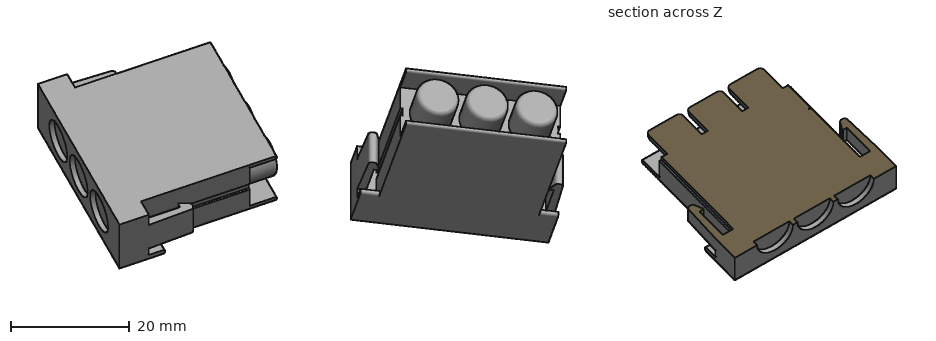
import cadquery as cq

height = 11.4
body_width = 27.5
body_back = 25.4

block_width = 34.0
block_depth = 5.4

shroud_back = 30.4
shroud_thickness = 0.8

ledge_back = 8.4
ledge_thickness = 1.0

contact_count = 3
contact_pitch = 8.5
recess_diameter = 7.5
recess_depth = 1.0
pin_diameter = 7.3
pin_back = 31.4
pin_rounding = 0.8

groove_width = 1.45
groove_depth = 0.4

latch_width = 6.1
latch_back = 13.9
latch_inner = 1.55
latch_lean = 0.3
hook_reach = 2.35
hook_front = 11.8
hook_lip = 0.3
latch_tip_width = 1.25
latch_tip_rounding = 0.6

overlap = 0.5


def box(x_range, y_range, z_range):
    """Box given by its lower and upper limits along each axis."""
    limits = (x_range, y_range, z_range)
    sizes = [upper - lower for lower, upper in limits]
    corner = tuple(lower for lower, upper in limits)
    return cq.Workplane("XY").box(*sizes, centered=False).translate(corner)


def centered(size):
    """Limits of a length that is symmetric about zero."""
    return (-size / 2, size / 2)


def round_ended_plate(x_range, y_range, z_range):
    """Plate whose back edge is a half round across its thickness."""
    x_start, x_end = x_range
    y_front, y_back = y_range
    z_bottom, z_top = z_range
    radius = (z_top - z_bottom) / 2
    return (
        cq.Workplane("YZ", origin=(x_start, 0, 0))
        .moveTo(y_front, z_bottom)
        .lineTo(y_back - radius, z_bottom)
        .threePointArc((y_back, z_bottom + radius), (y_back - radius, z_top))
        .lineTo(y_front, z_top)
        .close()
        .extrude(x_end - x_start)
    )


def make_housing():
    """Body, front block, shrouds and ledges."""
    half_height = height / 2
    body = box(centered(body_width), (0, body_back), centered(height))
    block = box(centered(block_width), (0, block_depth), centered(height))
    shroud_span = (body_back - overlap, shroud_back)
    top_shroud = round_ended_plate(
        centered(body_width), shroud_span, (half_height - shroud_thickness, half_height)
    )
    bottom_shroud = top_shroud.mirror("XY")
    ledges = round_ended_plate(
        centered(block_width),
        (block_depth - overlap, ledge_back),
        (-half_height, ledge_thickness - half_height),
    )
    return body.union(block).union(top_shroud).union(bottom_shroud).union(ledges)


def make_left_groove():
    """Cutter for the groove from the front block to the back of the body."""
    side = -body_width / 2
    return box((side, side + groove_depth), (block_depth, body_back), centered(groove_width))


def make_left_latch():
    """Leaning arm with an inward hook at its tip."""
    outer = -block_width / 2
    tip_outer = outer + latch_lean
    latch = (
        cq.Workplane("XY", origin=(0, 0, -latch_width / 2))
        .moveTo(outer, block_depth - overlap)
        .lineTo(outer, block_depth)
        .lineTo(tip_outer, latch_back)
        .lineTo(tip_outer + latch_tip_width, latch_back)
        .lineTo(outer + hook_reach, hook_front + hook_lip)
        .lineTo(outer + hook_reach, hook_front)
        .lineTo(outer + latch_inner, hook_front)
        .lineTo(outer + latch_inner, block_depth - overlap)
        .close()
        .extrude(latch_width)
    )
    return latch.faces(">Y").edges("|Z").fillet(latch_tip_rounding)


def make_pin(x):
    """Pin at the back of the body, rounded at its free end."""
    pin_length = pin_back - body_back + overlap
    return (
        cq.Workplane("XZ", origin=(x, body_back - overlap, 0))
        .circle(pin_diameter / 2)
        .extrude(-pin_length)
        .faces(">Y")
        .edges()
        .fillet(pin_rounding)
    )


def make_recess(x):
    """Cutter for the round recess in the front face."""
    return (
        cq.Workplane("XZ", origin=(x, 0, 0))
        .circle(recess_diameter / 2)
        .extrude(-recess_depth)
    )


result = make_housing()

left_groove = make_left_groove()
left_latch = make_left_latch()
result = result.cut(left_groove).cut(left_groove.mirror("YZ"))
result = result.union(left_latch).union(left_latch.mirror("YZ"))

for index in range(contact_count):
    contact_x = (index - (contact_count - 1) / 2) * contact_pitch
    result = result.union(make_pin(contact_x)).cut(make_recess(contact_x))